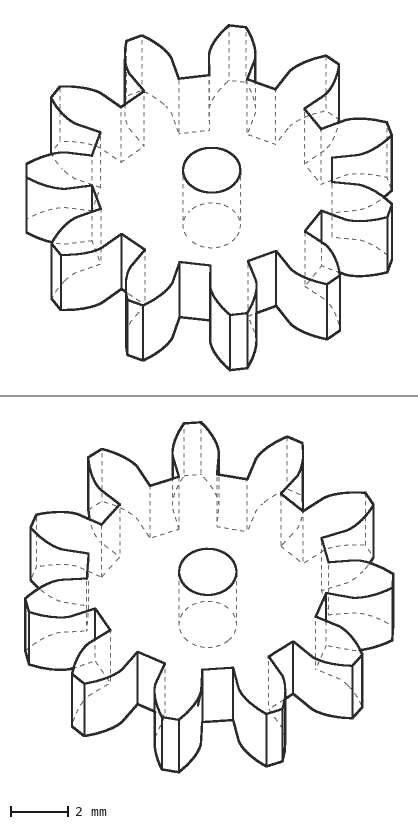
import cadquery as cq
import math

teeth = 11
pitch_diameter = 11.0
pressure_angle = math.radians(20)
thickness = 3.12
bore_diameter = 2.0
addendum_ratio = 1.0
dedendum_ratio = 1.25
flank_steps = 8

module = pitch_diameter / teeth
pitch_radius = pitch_diameter / 2
base_radius = pitch_radius * math.cos(pressure_angle)
tip_radius = pitch_radius + addendum_ratio * module
root_radius = pitch_radius - dedendum_ratio * module

pitch_angle = 2 * math.pi / teeth
involute_at_pitch = math.tan(pressure_angle) - pressure_angle
base_half_angle = pitch_angle / 4 + involute_at_pitch
tip_roll = math.sqrt((tip_radius / base_radius) ** 2 - 1)


def polar(radius, angle):
    return (radius * math.cos(angle), radius * math.sin(angle))


def flank_point(tooth_angle, side, roll):
    """Point on one involute flank; side is -1 or +1, roll is 0 at the base circle."""
    radius = base_radius * math.sqrt(1 + roll ** 2)
    half_angle = base_half_angle - (roll - math.atan(roll))
    return polar(radius, tooth_angle + side * half_angle)


def flank(tooth_angle, side):
    """Involute flank points from the base circle out to the tip."""
    rolls = [tip_roll * step / flank_steps for step in range(flank_steps + 1)]
    return [flank_point(tooth_angle, side, roll) for roll in rolls]


def add_tooth(outline, tooth_angle):
    """Rising flank, flat tip and falling flank, with radial lines below the base circle."""
    rising = flank(tooth_angle, -1)
    falling = flank(tooth_angle, 1)[::-1]
    outline = outline.lineTo(*rising[0]).spline(rising[1:], includeCurrent=True)
    outline = outline.lineTo(*falling[0]).spline(falling[1:], includeCurrent=True)
    return outline.lineTo(*polar(root_radius, tooth_angle + base_half_angle))


outline = cq.Workplane("XY").moveTo(*polar(root_radius, -base_half_angle))
for index in range(teeth):
    tooth_angle = index * pitch_angle
    if index > 0:
        outline = outline.lineTo(*polar(root_radius, tooth_angle - base_half_angle))
    outline = add_tooth(outline, tooth_angle)
gear = outline.close().extrude(thickness)

bore = cq.Workplane("XY").circle(bore_diameter / 2).extrude(thickness)
result = gear.cut(bore)